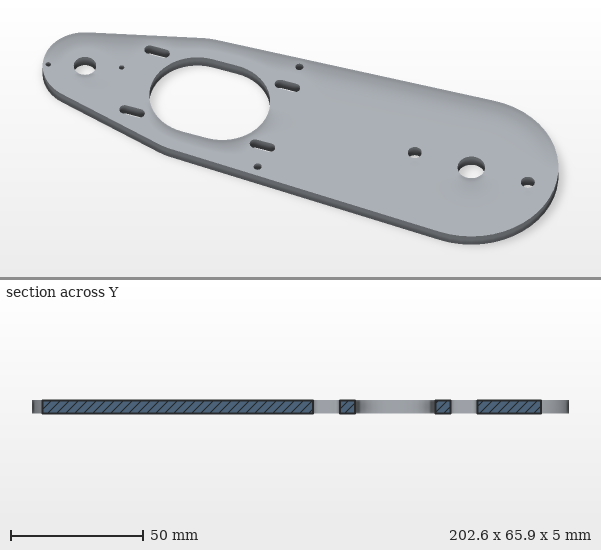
import cadquery as cq
import math

length = 202.6
thickness = 5.0
width = 65.9
large_radius = width / 2
small_radius = 16.0
bend_x = 56.5 - length / 2
bend_width = 54.5
bend_radius = 25.3

small_x = small_radius - length / 2
large_x = length / 2 - large_radius
bend = (bend_x, bend_width / 2)

window_x = 65.7 - length / 2
window_length = 46.2
window_width = 36.3
slot_length = 10.0
slot_width = 4.0
slot_offset_x = 26.0
slot_offset_y = 15.0

small_bore = 8.5
pin_diameter = 2.0
pin_offset = (13.4, 3.6)
large_bore = 10.3
flank_diameter = 5.3
flank_offset = 22.5
edge_hole_diameter = 3.0
edge_hole_x = 93.0 - length / 2
edge_hole_spacing = 50.0


def tangent_point(center_x, radius, side):
    """Upper tangent point on an end circle; side is the X direction from the circle to the bend."""
    dx = bend[0] - center_x
    dy = bend[1]
    to_bend = math.atan2(dy, dx)
    angle = to_bend + side * math.acos(radius / math.hypot(dx, dy))
    return (center_x + radius * math.cos(angle), radius * math.sin(angle))


def mirrored(point):
    return (point[0], -point[1])


def make_plate():
    small_tangent = tangent_point(small_x, small_radius, 1)
    large_tangent = tangent_point(large_x, large_radius, -1)
    plate = (
        cq.Workplane("XY")
        .moveTo(*small_tangent)
        .lineTo(*bend)
        .lineTo(*large_tangent)
        .threePointArc((length / 2, 0), mirrored(large_tangent))
        .lineTo(*mirrored(bend))
        .lineTo(*mirrored(small_tangent))
        .threePointArc((-length / 2, 0), small_tangent)
        .close()
        .extrude(thickness)
    )
    for corner in (bend, mirrored(bend)):
        bend_edge = cq.selectors.NearestToPointSelector((*corner, thickness / 2))
        plate = plate.edges("|Z").edges(bend_edge).fillet(bend_radius)
    return plate


def cut_holes(plate, points, diameter):
    cutter = cq.Workplane("XY").pushPoints(points).circle(diameter / 2).extrude(thickness)
    return plate.cut(cutter)


def cut_slots(plate, points, overall_length, overall_width):
    cutter = cq.Workplane("XY").pushPoints(points).slot2D(overall_length, overall_width).extrude(thickness)
    return plate.cut(cutter)


slot_points = [
    (window_x + x_sign * slot_offset_x, y_sign * slot_offset_y)
    for x_sign in (-1, 1)
    for y_sign in (-1, 1)
]
pin_points = [(small_x + sign * pin_offset[0], sign * pin_offset[1]) for sign in (-1, 1)]
flank_points = [(large_x + sign * flank_offset, 0) for sign in (-1, 1)]
edge_points = [(edge_hole_x, sign * edge_hole_spacing / 2) for sign in (-1, 1)]

result = make_plate()
result = cut_slots(result, [(window_x, 0)], window_length, window_width)
result = cut_slots(result, slot_points, slot_length, slot_width)
result = cut_holes(result, [(small_x, 0)], small_bore)
result = cut_holes(result, pin_points, pin_diameter)
result = cut_holes(result, [(large_x, 0)], large_bore)
result = cut_holes(result, flank_points, flank_diameter)
result = cut_holes(result, edge_points, edge_hole_diameter)